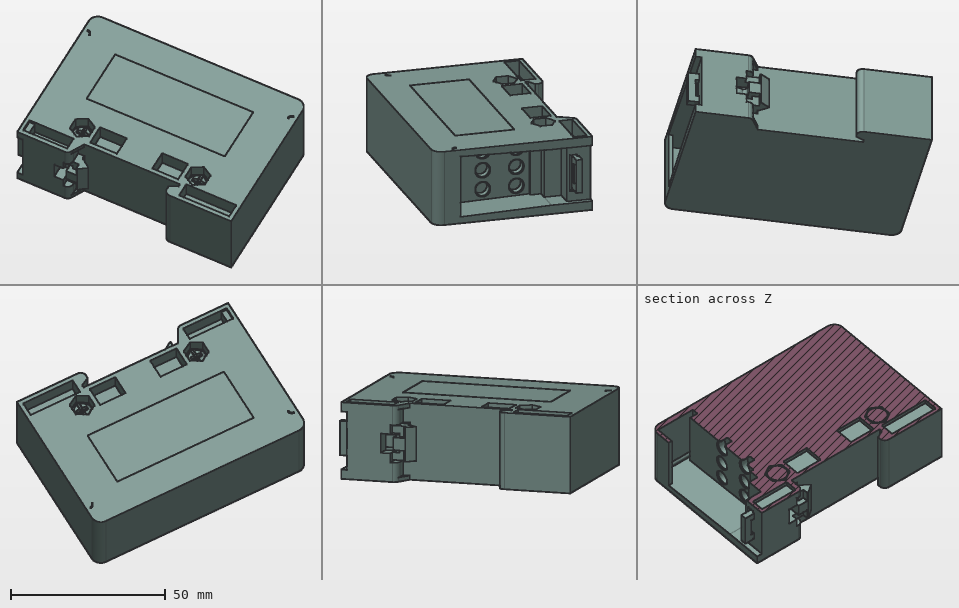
import cadquery as cq
import math


overall_length = 79.5
tab_reach = 1.7
body_length = overall_length - tab_reach
body_depth = 53.4
body_height = 25.2
top_z = body_height / 2
rear_corner_radius = 3.3

channel_y = 5.6
left_leg_flat_end = 17.3
left_leg_nose_radius = 2.0
left_flank_angle = 61.0
flank_plate_thickness = 1.4
right_leg_nose_x = 53.4
right_leg_nose_radius = 2.0
right_hook_y = 3.1
right_channel_x = 56.3
right_notch_y = 4.6

recess_end_y = 44.45
recess_end_half_height = 10.3
recess_front_half_height = 9.55
recess_straight_y = 13.8
side_wall = 1.4
cavity_end_x, cavity_end_y = 15.9, 51.3
ledge_depth = 0.8
ledge_height = 1.3
ledge_rounding = 0.55
tab_panel_x, tab_panel_y = 2.0, 8.0
lower_step_x = 8.1
upper_step_x, upper_step_y = 11.6, 17.4
terminal_wall_x, terminal_block_end_y = 12.9, 49.1

hole_rows_y = (21.7, 33.1)
hole_pitch = 6.5
hole_diameter = 4.6
hole_mouth_diameter = 5.1
hole_mouth_depth = 0.5
hole_depth = 3.2

slider_half_width = 5.65
slider_gap = 0.55
tab_y0, tab_y1 = 3.9, 6.0
tab_slot_y0, tab_slot_y1 = 4.5, 7.0
tab_slot_depth = 1.4
tab_notch_x = 0.8
tongue_half_width = 2.1
opening_half_width = 3.2
notch_x0, notch_x1 = 16.8, 21.6
notch_y = 6.35
bar_front_y = 2.15
opening_x0, opening_x1 = 13.5, 19.1
opening_y = 4.9
tongue_y = 0.2
tongue_flat_x = 17.65
tongue_groove_x = 16.2
tongue_groove_y = 4.45
tongue_ridge_y = 4.1
tongue_end_wall_y = 3.65
head_back_x = 21.3
head_bottom_x = 21.7
head_tip_x, head_tip_y = 24.7, 2.3
head_top_x, head_top_y = 21.5, 4.85

label_x0, label_x1 = 13.75, 64.0
label_y0, label_y1 = 22.2, 42.1
label_recess = 0.1
pocket_depth = 5.25
key_shelf_x, key_shelf_depth = 3.3, 1.0
pockets = [
    (key_shelf_x, 17.4, 1.5, 6.0),
    (58.1, 76.3, 1.5, 6.5),
    (22.9, 32.6, 7.1, 14.0),
    (45.5, 54.85, 7.1, 14.0),
]
key_shelf_x0 = 1.35
screw_centres = [(17.9, 11.2), (59.95, 11.2)]
hex_across_corners = 8.1
hex_depth = 4.1
screw_radius = 3.4
screw_rim_height = 0.2
screw_shoulder_radius, screw_shoulder_height = 2.6, 0.8
screw_head_height = 1.3
screw_slot_width = 0.9
screw_slot_depth = 0.7
cross_length, cross_width, cross_depth = 4.1, 1.35, 1.1
cross_wall_taper = 20.0
mark_inset, mark_y = 1.4, 45.2
mark_radius, mark_width, mark_depth = 1.5, 0.3, 0.2


def block(x0, x1, y0, y1, z0, z1):
    """Box given by its limits along each axis."""
    return cq.Workplane("XY").box(x1 - x0, y1 - y0, z1 - z0, centered=False).translate((x0, y0, z0))


def centred_block(x0, x1, y0, y1, half_width):
    """Box that is symmetric about mid height."""
    return block(x0, x1, y0, y1, -half_width, half_width)


def centred_prism(outline, half_width):
    """Extrude a closed XY outline symmetrically about mid height."""
    return outline.extrude(half_width, both=True)


def make_body():
    nose = left_leg_nose_radius
    nose_bulge = nose * math.sqrt(0.5)
    left_channel_x = left_leg_flat_end + nose

    right = right_leg_nose_radius
    bulge = right * (1 - math.sqrt(0.5))
    outline = (
        cq.Workplane("XY")
        .moveTo(0, 0)
        .lineTo(left_leg_flat_end, 0)
        .threePointArc(
            (left_leg_flat_end + nose_bulge, nose - nose_bulge),
            (left_channel_x, nose),
        )
        .lineTo(left_channel_x, channel_y)
        .lineTo(right_channel_x, channel_y)
        .lineTo(right_channel_x, right_notch_y)
        .lineTo(right_leg_nose_x, right_hook_y)
        .lineTo(right_leg_nose_x, right)
        .threePointArc((right_leg_nose_x + bulge, bulge), (right_leg_nose_x + right, 0))
        .lineTo(body_length, 0)
        .lineTo(body_length, body_depth)
        .lineTo(0, body_depth)
        .close()
    )
    body = centred_prism(outline, top_z).edges("|Z and >Y").fillet(rear_corner_radius)

    angle = math.radians(left_flank_angle)
    tangent_x = left_leg_flat_end + nose * math.sin(angle)
    tangent_y = nose * (1 - math.cos(angle))
    flank_top_x = tangent_x + (channel_y - tangent_y) / math.tan(angle)
    flank = cq.Workplane("XY").polyline([
        (tangent_x, tangent_y),
        (flank_top_x, channel_y),
        (tangent_x, channel_y),
    ]).close()
    flank_plates = flank.extrude(flank_plate_thickness)
    body = body.union(flank_plates.translate((0, 0, top_z - flank_plate_thickness)))
    return body.union(flank_plates.translate((0, 0, -top_z)))


def recess_half_height(y):
    """Half height of the wiring recess, which grows evenly behind its straight front stretch."""
    growth = recess_end_half_height - recess_front_half_height
    taper_length = recess_end_y - recess_straight_y
    return recess_front_half_height + growth * max(0, y - recess_straight_y) / taper_length


def recess_slab(x0, x1, y0, y1):
    """Part of the wiring recess between two depths y0 and y1."""
    half0 = recess_half_height(y0)
    half1 = recess_half_height(y1)
    outline = cq.Workplane("YZ", origin=(x0, 0, 0)).polyline([
        (y0, -half0),
        (y1, -half1),
        (y1, half1),
        (y0, half0),
    ]).close()
    return outline.extrude(x1 - x0)


def make_wiring_recess():
    recess = recess_slab(0, tab_panel_x, 0, tab_panel_y)
    recess = recess.union(recess_slab(0, lower_step_x, tab_panel_y, recess_straight_y))
    recess = recess.union(recess_slab(0, upper_step_x, recess_straight_y, upper_step_y))
    recess = recess.union(recess_slab(0, terminal_wall_x, upper_step_y, recess_end_y))
    recess = recess.union(recess_slab(side_wall, terminal_wall_x, recess_end_y, terminal_block_end_y))

    channel = recess_slab(side_wall, cavity_end_x, terminal_block_end_y, cavity_end_y)
    ledge_y = cavity_end_y - ledge_depth
    floor_z = -recess_half_height(cavity_end_y)
    ledge_top_z = -recess_half_height(ledge_y) + ledge_height
    ledge = block(side_wall, cavity_end_x, ledge_y, cavity_end_y, floor_z, ledge_top_z)
    ledge = ledge.edges("|X and <Y and >Z").fillet(ledge_rounding)
    return recess.union(channel.cut(ledge))


def make_terminal_holes():
    centres = [(y, row * hole_pitch) for y in hole_rows_y for row in (-1, 0, 1)]
    plane = cq.Workplane("YZ", origin=(terminal_wall_x, 0, 0)).pushPoints(centres)
    bores = plane.circle(hole_diameter / 2).extrude(hole_depth)
    mouths = plane.circle(hole_mouth_diameter / 2).extrude(hole_mouth_depth)
    return bores.union(mouths)


def add_release_tab(part):
    slot = centred_block(
        tab_panel_x, tab_panel_x + tab_slot_depth, tab_slot_y0, tab_slot_y1, slider_half_width + slider_gap
    )
    tab = centred_block(-tab_reach, tab_panel_x + tab_slot_depth, tab_y0, tab_y1, slider_half_width)
    notch = centred_block(tab_notch_x, tab_panel_x, tab_y0, tab_y1, opening_half_width)
    return part.cut(slot).union(tab.cut(notch))


def add_rail_latch(part):
    part = part.cut(centred_block(notch_x0, notch_x1, 0, notch_y, slider_half_width + slider_gap))

    bar = centred_block(notch_x0, head_back_x, bar_front_y, notch_y, slider_half_width)
    head = centred_prism(
        cq.Workplane("XY").polyline([
            (head_back_x, tongue_y),
            (head_bottom_x, tongue_y),
            (head_tip_x, head_tip_y),
            (head_top_x, head_top_y),
            (head_back_x, head_top_y),
        ]).close(),
        slider_half_width,
    )
    part = part.union(bar).union(head)

    part = part.cut(centred_block(opening_x0, opening_x1, 0, opening_y, opening_half_width))

    ridge_x = (opening_x0 + tongue_groove_x) / 2
    groove_x = (tongue_groove_x + tongue_flat_x) / 2
    tongue = (
        cq.Workplane("XY")
        .moveTo(head_back_x, tongue_y)
        .lineTo(tongue_flat_x, tongue_y)
        .lineTo(tongue_flat_x, tongue_end_wall_y)
        .threePointArc((groove_x, tongue_groove_y), (tongue_groove_x, tongue_groove_y))
        .threePointArc((ridge_x, tongue_ridge_y), (opening_x0, opening_y))
        .lineTo(head_back_x, opening_y)
        .close()
    )
    return part.union(centred_prism(tongue, tongue_half_width))


def cut_top_pockets(part):
    part = part.cut(block(label_x0, label_x1, label_y0, label_y1, top_z - label_recess, top_z))
    for x0, x1, y0, y1 in pockets:
        part = part.cut(block(x0, x1, y0, y1, top_z - pocket_depth, top_z))
    _, _, key_y0, key_y1 = pockets[0]
    return part.cut(block(key_shelf_x0, key_shelf_x, key_y0, key_y1, top_z - key_shelf_depth, top_z))


def make_screw_head():
    """Domed screw head standing on z = 0, with a full slot and a cross recess."""
    dome_rise = screw_head_height - screw_shoulder_height
    dome_radius = (screw_shoulder_radius**2 + dome_rise**2) / (2 * dome_rise)
    dome_mid_x = screw_shoulder_radius / 2
    dome_mid_z = screw_head_height - dome_radius + math.sqrt(dome_radius**2 - dome_mid_x**2)
    profile = (
        cq.Workplane("XZ")
        .lineTo(screw_radius, 0)
        .lineTo(screw_radius, screw_rim_height)
        .lineTo(screw_shoulder_radius, screw_shoulder_height)
        .threePointArc((dome_mid_x, dome_mid_z), (0, screw_head_height))
        .close()
    )
    head = profile.revolve(360, (0, 0, 0), (0, 1, 0))
    slot = centred_block(
        -screw_slot_width / 2, screw_slot_width / 2, -screw_radius, screw_radius, screw_slot_depth
    )
    slot = slot.translate((0, 0, screw_head_height))
    cross = (
        cq.Workplane("XY", origin=(0, 0, screw_head_height))
        .rect(cross_length, cross_width)
        .extrude(-cross_depth, taper=cross_wall_taper)
    )
    return head.cut(slot).cut(cross)


def add_screws(part):
    floor_z = top_z - hex_depth
    head = make_screw_head()
    for x, y in screw_centres:
        socket = (
            cq.Workplane("XY", origin=(x, y, floor_z))
            .transformed(rotate=(0, 0, 30))
            .polygon(6, hex_across_corners)
            .extrude(hex_depth)
        )
        part = part.cut(socket).union(head.translate((x, y, floor_z)))
    return part


def cut_corner_marks(part):
    for x, side in ((mark_inset, 1), (body_length - mark_inset, -1)):
        ring = (
            cq.Workplane("XY", origin=(x, mark_y, top_z))
            .circle(mark_radius)
            .circle(mark_radius - mark_width)
            .extrude(-mark_depth)
        )
        inner_x = x + side * mark_radius
        quarter = block(
            min(x, inner_x), max(x, inner_x), mark_y, mark_y + mark_radius, top_z - mark_depth, top_z
        )
        part = part.cut(ring.intersect(quarter))
    return part


result = make_body().cut(make_wiring_recess()).cut(make_terminal_holes())
result = add_release_tab(result)
result = add_rail_latch(result)
result = cut_top_pockets(result)
result = add_screws(result)
result = cut_corner_marks(result)